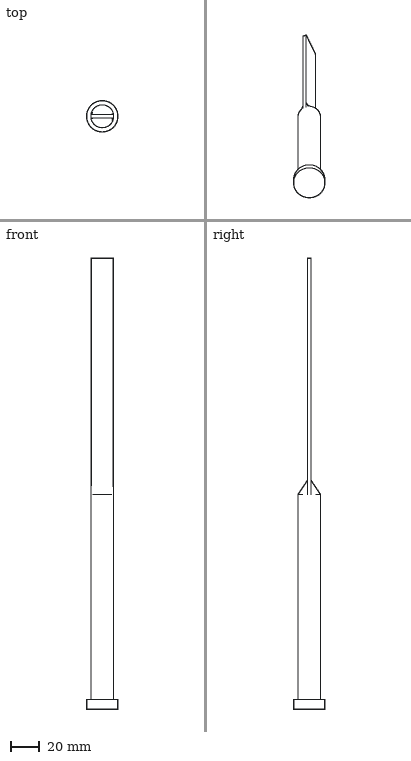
import cadquery as cq
import math

TOTAL_LENGTH = 315.0
HEAD_DIAMETER = 22.0
HEAD_HEIGHT = 7.0
SHANK_DIAMETER = 16.0
BLADE_WIDTH = 15.5
BLADE_THICKNESS = 2.5
BLADE_LENGTH = 155.0
TRANSITION_HEIGHT = 10.0

blade_start = TOTAL_LENGTH - BLADE_LENGTH
shank_top = blade_start - TRANSITION_HEIGHT


def make_head():
    return cq.Workplane("XY").circle(HEAD_DIAMETER / 2).extrude(HEAD_HEIGHT)


def make_shank():
    return cq.Workplane("XY").circle(SHANK_DIAMETER / 2).extrude(shank_top)


def make_transition():
    """Ruled body from the shank circle up to the blade rectangle.

    The circle is split into four arcs, one for each side of the rectangle. The two
    short arcs are as wide as the blade is thick, so the narrow sides keep their width.
    """
    shank_radius = SHANK_DIAMETER / 2
    half_width = BLADE_WIDTH / 2
    half_thickness = BLADE_THICKNESS / 2
    split_x = math.sqrt(shank_radius**2 - half_thickness**2)
    shank_outline = (
        cq.Workplane("XY", origin=(0, 0, shank_top))
        .moveTo(split_x, half_thickness)
        .threePointArc((0, shank_radius), (-split_x, half_thickness))
        .threePointArc((-shank_radius, 0), (-split_x, -half_thickness))
        .threePointArc((0, -shank_radius), (split_x, -half_thickness))
        .threePointArc((shank_radius, 0), (split_x, half_thickness))
        .close()
    )
    blade_outline = (
        cq.Workplane("XY", origin=(0, 0, blade_start))
        .moveTo(half_width, half_thickness)
        .lineTo(-half_width, half_thickness)
        .lineTo(-half_width, -half_thickness)
        .lineTo(half_width, -half_thickness)
        .close()
    )
    sections = [shank_outline.val(), blade_outline.val()]
    return cq.Workplane(cq.Solid.makeLoft(sections, True))


def make_blade():
    return (
        cq.Workplane("XY", origin=(0, 0, blade_start))
        .rect(BLADE_WIDTH, BLADE_THICKNESS)
        .extrude(BLADE_LENGTH)
    )


result = make_head().union(make_shank()).union(make_transition()).union(make_blade())